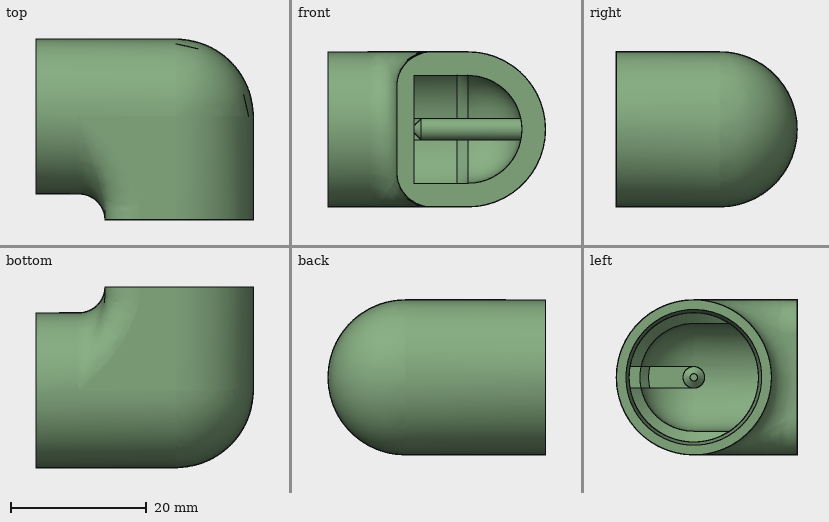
import cadquery as cq

outer_radius = 11.43
socket_end_x = -20.6375
outlet_end_y = -15.24

passage_radius = 7.9375
outlet_wall = 2.54
outlet_left_x = -(passage_radius + outlet_wall)
corner_radius = 5.08

flare_radius = -outlet_end_y - outer_radius
flare_start_x = outlet_left_x - flare_radius

bore_radius = 9.525
mouth_radius = 10.0
mouth_taper_length = 2.38
seat_depth = bore_radius - passage_radius

pin_diameter = 3.175
pin_radius = pin_diameter / 2
pin_tip_x = -passage_radius
pin_tip_radius = 0.55
pin_tip_length = pin_radius - pin_tip_radius
rib_face_x = pin_tip_x + pin_tip_length
rib_bevel = 1.27
rib_bevel_inner_radius = passage_radius - rib_bevel
rib_step_x = rib_face_x - rib_bevel
support_reach = (bore_radius + outer_radius) / 2

selection_margin = 0.01


def box_between(x_range, y_range, z_range):
    size = [high - low for low, high in (x_range, y_range, z_range)]
    corner = (x_range[0], y_range[0], z_range[0])
    return cq.Workplane("XY").box(*size, centered=False).translate(corner)


def cylinder_x(radius, start_x, end_x):
    return cq.Workplane("YZ", origin=(start_x, 0, 0)).circle(radius).extrude(end_x - start_x)


def revolve_about_x(profile):
    return profile.close().revolve(360, (0, 0, 0), (1, 0, 0))


def d_prism(radius, left_x):
    """D section, flat on the left and round on the right, from the outlet face to the X axis."""
    return (
        cq.Workplane("XZ")
        .moveTo(left_x, -radius)
        .lineTo(0, -radius)
        .threePointArc((radius, 0), (0, radius))
        .lineTo(left_x, radius)
        .close()
        .extrude(-outlet_end_y)
    )


def make_flare():
    """Half of a trumpet around X, trimmed to the height of the outlet."""
    trumpet = revolve_about_x(
        cq.Workplane("XY")
        .moveTo(flare_start_x, 0)
        .lineTo(flare_start_x, outer_radius)
        .radiusArc((outlet_left_x, outer_radius + flare_radius), -flare_radius)
        .lineTo(0, outer_radius + flare_radius)
        .lineTo(0, 0)
    )
    limits = box_between((flare_start_x, 0), (outlet_end_y, 0), (-outer_radius, outer_radius))
    return trumpet.intersect(limits)


def make_outlet():
    """Outlet with its flare; the rounded left corners run on along the flare and fade out."""
    outlet = d_prism(outer_radius, outlet_left_x).union(make_flare())
    for side in (-1, 1):
        edge_z = side * outer_radius
        corner_region = cq.selectors.BoxSelector(
            (flare_start_x, outlet_end_y, edge_z - selection_margin),
            (outlet_left_x + selection_margin, -selection_margin, edge_z + selection_margin),
        )
        outlet = outlet.edges(corner_region).fillet(corner_radius)
    return outlet


def make_body():
    tube = cylinder_x(outer_radius, socket_end_x, 0)
    ball = cq.Workplane("XY").sphere(outer_radius)
    return make_outlet().union(tube).union(ball)


def make_bore():
    """Tapered mouth, straight bore and conical seat, as one turned shape."""
    return revolve_about_x(
        cq.Workplane("XY")
        .moveTo(socket_end_x, 0)
        .lineTo(socket_end_x, mouth_radius)
        .lineTo(socket_end_x + mouth_taper_length, bore_radius)
        .lineTo(-seat_depth, bore_radius)
        .lineTo(0, passage_radius)
        .lineTo(0, 0)
    )


def make_cavity():
    ball = cq.Workplane("XY").sphere(passage_radius)
    return make_bore().union(ball).union(d_prism(passage_radius, -passage_radius))


def make_pin():
    """Pin with a blunt conical tip, reaching into the wall of the outside corner."""
    return revolve_about_x(
        cq.Workplane("XY")
        .moveTo(pin_tip_x, 0)
        .lineTo(pin_tip_x, pin_tip_radius)
        .lineTo(rib_face_x, pin_radius)
        .lineTo(support_reach, pin_radius)
        .lineTo(support_reach, 0)
    )


def make_rib():
    """Rib from the pin to the back wall; a turned bevel leads forward to its outer step."""
    turned = revolve_about_x(
        cq.Workplane("XY")
        .moveTo(rib_face_x, 0)
        .lineTo(rib_face_x, rib_bevel_inner_radius)
        .lineTo(rib_step_x, passage_radius)
        .lineTo(rib_step_x, support_reach)
        .lineTo(support_reach, support_reach)
        .lineTo(support_reach, 0)
    )
    strip = box_between((rib_step_x, support_reach), (0, support_reach), (-pin_radius, pin_radius))
    return turned.intersect(strip)


def make_support():
    """Pin and rib as one piece, running over into the wall."""
    return make_pin().union(make_rib())


body = make_body()
support = make_support().intersect(body)
result = body.cut(make_cavity()).union(support)